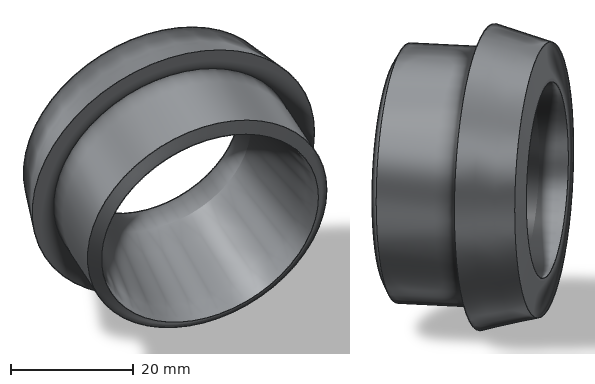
import cadquery as cq
import math

total_length = 25.0
flange_length = 10.0
straight_bore_length = 4.8

flange_diameter = 50.0
sleeve_diameter = 42.4
bore_diameter = 32.0
front_land_diameter = 33.0

flange_front_diameter = 44.95
face_angle = 5.0
face_depth = (
    (flange_front_diameter - front_land_diameter) / 2 * math.tan(math.radians(face_angle))
)

chamfer_height = 2.0
chamfer_angle = 30.0
chamfer_length = chamfer_height * math.tan(math.radians(chamfer_angle))

flange_radius = flange_diameter / 2
sleeve_radius = sleeve_diameter / 2
bore_radius = bore_diameter / 2
rim_radius = sleeve_radius - chamfer_height

half_section = (
    cq.Workplane("XY")
    .moveTo(0, bore_radius)
    .lineTo(0, front_land_diameter / 2)
    .lineTo(face_depth, flange_front_diameter / 2)
    .lineTo(flange_length, flange_radius)
    .lineTo(flange_length, sleeve_radius)
    .lineTo(total_length - chamfer_length, sleeve_radius)
    .lineTo(total_length, rim_radius)
    .lineTo(straight_bore_length, bore_radius)
    .close()
)

result = half_section.revolve(360, (0, 0, 0), (1, 0, 0))